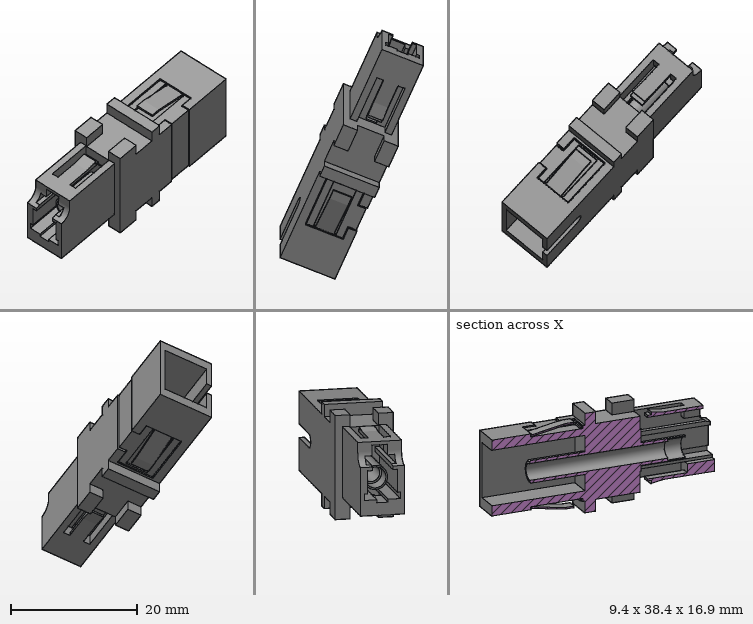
import cadquery as cq


total_length = 38.4
body_width = 9.4
body_height = 12.9
flange_height = 16.89

nose_length = 12.85
nose_width = 7.1
nose_bottom = -4.93
nose_top = 6.57
nose_middle = (nose_top + nose_bottom) / 2
tip_cut_radius = 2.0
tip_cut_bottom = 2.95

flange_thickness = 3.85
flange_notch_width = 4.55
groove_width = 3.8
rib_thickness = 1.87
flange_back = nose_length + flange_thickness
rib_front = flange_back + groove_width

nose_cavity_depth = 12.63
cavity_half_width = 2.4
cavity_top = 4.33
lip_half_gap = 1.65
lip_top = 3.12
lip_bottom = 2.37
foot_half_width = 2.88
foot_top = -1.35
foot_bottom = -2.39
keel_half_width = 0.9
keel_bottom = -2.87
latch_width = 2.5

latch_window_front = 4.74
latch_window_floor = 4.24
latch_thickness = 0.58
latch_bend = 8.8
latch_crest = 11.0
latch_tip = 11.57
latch_rise = 0.36
latch_overhang = 0.1
latch_ledge_drop = 0.17

rear_cavity_width = 7.6
rear_cavity_height = 9.3
rear_cavity_depth = 16.0
key_slot_width = 2.2
key_slot_depth = 8.15

barrel_radius = 1.96
bore_radius = 1.38
counterbore_radius = 1.69
counterbore_depth = 3.0
nose_barrel_tip = 5.05
rear_barrel_tip = total_length - 6.52
rear_barrel_chamfer = 0.24

clip_thickness = 0.35
clip_sink = 0.15
clip_gap = 0.12
clip_half_width = 3.12
clip_front = 22.87
clip_back = 31.53
strap_front = 25.5
strap_back = 29.43
strap_front_gap = 0.25
spring_window_front = 23.16
spring_window_back = 31.34
spring_window_width = 3.86
spring_width = 3.16
spring_tip = 24.22
spring_bend = 25.73
spring_top = 7.27

clip_top = body_height / 2 - clip_sink
clip_side = body_width / 2 - clip_sink
recess_floor = clip_top - clip_thickness
recess_side = clip_side - clip_thickness


def block(x_range, y_range, z_range):
    """Axis-aligned box between pairs of limits."""
    (x0, x1), (y0, y1), (z0, z1) = x_range, y_range, z_range
    return cq.Workplane("XY").box(x1 - x0, y1 - y0, z1 - z0, centered=False).translate((x0, y0, z0))


def centred_block(width, y_range, z_range):
    """Box that is symmetric in X."""
    return block((-width / 2, width / 2), y_range, z_range)


def side_profile(points, width):
    """Extrude a (Y, Z) outline symmetrically along X."""
    return cq.Workplane("YZ").polyline(points).close().extrude(width / 2, both=True)


def flipped(shape, level=0.0):
    """Mirror image of a shape across the horizontal plane at a level."""
    return shape.mirror("XY", (0, 0, level))


def outer_body():
    half_height = body_height / 2
    half_flange = flange_height / 2
    body = centred_block(body_width, (nose_length, total_length), (-half_height, half_height))
    body = body.union(centred_block(nose_width, (0, nose_length), (nose_bottom, nose_top)))
    for front, thickness in ((nose_length, flange_thickness), (rib_front, rib_thickness)):
        body = body.union(
            centred_block(body_width, (front, front + thickness), (-half_flange, half_flange))
        )
    notch = centred_block(
        flange_notch_width, (nose_length, flange_back), (half_height, half_flange)
    )
    return body.cut(notch).cut(flipped(notch))


def nose_tip_cut():
    """Step across the top of the nose tip, rounded into its floor."""
    arc_centre = tip_cut_bottom + tip_cut_radius
    step = centred_block(nose_width, (0, tip_cut_radius), (arc_centre, nose_top))
    scoop = (
        cq.Workplane("YZ")
        .center(0, arc_centre)
        .circle(tip_cut_radius)
        .extrude(nose_width / 2, both=True)
    )
    return step.union(scoop)


def nose_cavity():
    depth = (0, nose_cavity_depth)
    sections = (
        (latch_width / 2, cavity_top, nose_top - latch_thickness),
        (cavity_half_width, lip_top, cavity_top),
        (lip_half_gap, lip_bottom, lip_top),
        (cavity_half_width, foot_top, lip_bottom),
        (foot_half_width, foot_bottom, foot_top),
        (keel_half_width, keel_bottom, foot_bottom),
    )
    cavity = cq.Workplane("XY")
    for half_width, bottom, top in sections:
        cavity = cavity.union(centred_block(2 * half_width, depth, (bottom, top)))
    return cavity


def latch_window(z_range):
    return centred_block(2 * cavity_half_width, (latch_window_front, nose_length), z_range)


def latch_arm():
    """Upper spring arm: flat, then rising to a crest with a low ledge behind it."""
    underside = nose_top - latch_thickness
    ledge = nose_top - latch_ledge_drop
    outline = [
        (latch_window_front, underside),
        (latch_window_front, nose_top),
        (latch_bend, nose_top),
        (latch_crest, nose_top + latch_rise),
        (latch_crest - latch_overhang, ledge),
        (latch_tip, ledge),
        (latch_tip, underside),
    ]
    return side_profile(outline, latch_width)


def rear_cavity():
    half_height = rear_cavity_height / 2
    return centred_block(
        rear_cavity_width, (total_length - rear_cavity_depth, total_length), (-half_height, half_height)
    )


def key_slot():
    """Round-ended slot through the -X wall of the rear port."""
    radius = key_slot_width / 2
    round_centre = total_length - key_slot_depth + radius
    x_range = (-body_width / 2, -rear_cavity_width / 2)
    slot = block(x_range, (round_centre, total_length), (-radius, radius))
    slot_end = (
        cq.Workplane("YZ", origin=(x_range[0], round_centre, 0))
        .circle(radius)
        .extrude(x_range[1] - x_range[0])
    )
    return slot.union(slot_end)


def rod(radius, front, back):
    """Cylinder on the bore axis between two Y positions."""
    return cq.Workplane("XZ", origin=(0, front, 0)).circle(radius).extrude(front - back)


def barrels():
    """Both ferrule barrels as one rod, chamfered at its rear tip."""
    return rod(barrel_radius, nose_barrel_tip, rear_barrel_tip).faces(">Y").chamfer(rear_barrel_chamfer)


def bore():
    """Through bore with a counterbore in the nose barrel."""
    counterbore = rod(counterbore_radius, nose_barrel_tip, nose_barrel_tip + counterbore_depth)
    return rod(bore_radius, 0, total_length).union(counterbore)


def clip_recess():
    """C-shaped recess over the top, the +X side and the bottom of the body."""
    half_height = body_height / 2
    half_body = body_width / 2
    half_width = clip_half_width + clip_gap
    strap_range = (strap_front - strap_front_gap, strap_back + clip_gap)
    top = centred_block(
        2 * half_width, (clip_front - clip_gap, clip_back + clip_gap), (recess_floor, half_height)
    )
    tab = block((0, half_body), strap_range, (recess_floor, half_height))
    side = block((recess_side, half_body), strap_range, (-half_height, half_height))
    top = top.union(tab)
    return top.union(flipped(top)).union(side)


def make_housing():
    body = outer_body().cut(nose_tip_cut()).cut(nose_cavity())
    body = body.cut(latch_window((latch_window_floor, nose_top)))
    body = body.cut(latch_window((nose_bottom, keel_bottom)))
    body = body.union(latch_arm()).union(flipped(latch_arm(), nose_middle))
    body = body.cut(rear_cavity()).cut(key_slot())
    body = body.union(barrels()).cut(bore()).cut(clip_recess())
    return body.solids()


def clip_plate():
    """Upper clip plate with its window, its tab towards +X and the bent spring tongue."""
    z_range = (recess_floor, clip_top)
    plate = centred_block(2 * clip_half_width, (clip_front, clip_back), z_range)
    tab = block((0, clip_side), (strap_front, strap_back), z_range)
    window = centred_block(
        spring_window_width, (spring_window_front, spring_window_back), z_range
    )
    spring_bottom = spring_top - clip_thickness
    spring_outline = [
        (clip_back, clip_top),
        (spring_window_back, clip_top),
        (spring_bend, spring_top),
        (spring_tip, spring_top),
        (spring_tip, spring_bottom),
        (spring_bend, spring_bottom),
        (spring_window_back, recess_floor),
        (clip_back, recess_floor),
    ]
    return plate.union(tab).cut(window).union(side_profile(spring_outline, spring_width))


def make_clip():
    strap = block((recess_side, clip_side), (strap_front, strap_back), (-clip_top, clip_top))
    return clip_plate().union(flipped(clip_plate())).union(strap).solids()


housing = make_housing()
clip = make_clip()

result = cq.Compound.makeCompound([housing.val(), clip.val()])